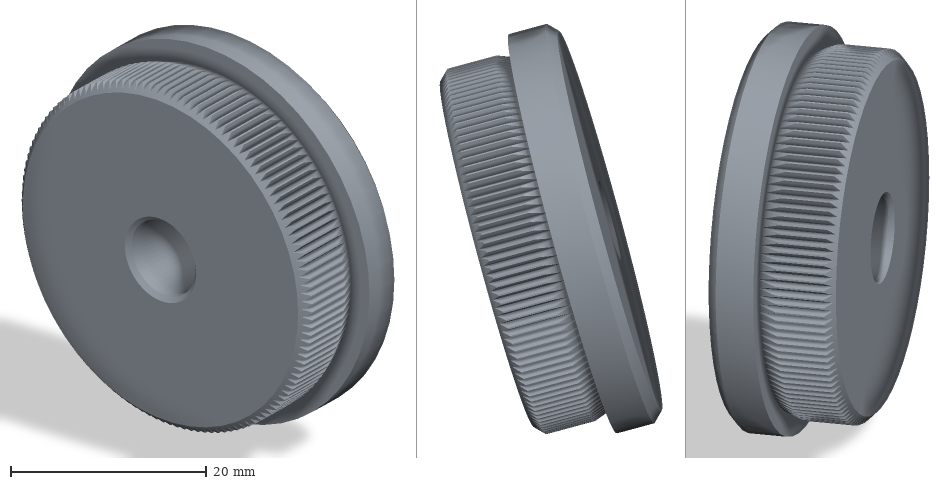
import cadquery as cq
import math


flange_diameter = 42.4
flange_thickness = 5.0
flange_chamfer = 1.0

total_thickness = 13.0
collar_length = total_thickness - flange_thickness

crest_diameter = 38.8
tooth_count = 130
tooth_depth = 0.7
crest_width = 0.15
tip_chamfer = 1.0
relief_depth = 0.68
relief_length = 1.82

bore_diameter = 8.5
bore_chamfer = 0.5

front_y = -total_thickness / 2
shoulder_y = front_y + collar_length
back_y = total_thickness / 2


def revolved(profile):
    """Turn a closed (radius, y) profile around the Y axis."""
    return cq.Workplane("XY").polyline(profile).close().revolve(360, (0, 0, 0), (0, 1, 0))


def flange():
    radius = flange_diameter / 2
    return revolved([
        (0, shoulder_y),
        (radius, shoulder_y),
        (radius, back_y - flange_chamfer),
        (radius - flange_chamfer, back_y),
        (0, back_y),
    ])


def collar_envelope():
    """Smooth turned shape that limits the ends of the knurl teeth."""
    radius = crest_diameter / 2
    return revolved([
        (0, front_y),
        (radius - tip_chamfer, front_y),
        (radius, front_y + tip_chamfer),
        (radius, shoulder_y - relief_length),
        (radius - relief_depth, shoulder_y),
        (0, shoulder_y),
    ])


def toothed_prism():
    """Straight prism with V teeth, one centred on +X.

    The teeth run to sharp tips just outside the collar envelope, which trims them to narrow lands.
    """
    crest_radius = crest_diameter / 2
    root_radius = crest_radius - tooth_depth
    half_pitch = math.pi / tooth_count
    groove_width = 2 * half_pitch * crest_radius - crest_width
    tip_radius = crest_radius + tooth_depth * crest_width / groove_width
    points = []
    for tooth in range(tooth_count):
        tip_angle = 2 * half_pitch * tooth
        for radius, angle in ((tip_radius, tip_angle), (root_radius, tip_angle + half_pitch)):
            points.append((radius * math.cos(angle), radius * math.sin(angle)))
    plane = cq.Workplane("XZ", origin=(0, shoulder_y, 0))
    return plane.polyline(points).close().extrude(collar_length)


def bore_cutter():
    """Through bore with a chamfered mouth on the free collar face."""
    radius = bore_diameter / 2
    return revolved([
        (0, front_y),
        (radius + bore_chamfer, front_y),
        (radius, front_y + bore_chamfer),
        (radius, back_y),
        (0, back_y),
    ])


collar = toothed_prism().intersect(collar_envelope())
result = flange().union(collar).cut(bore_cutter())